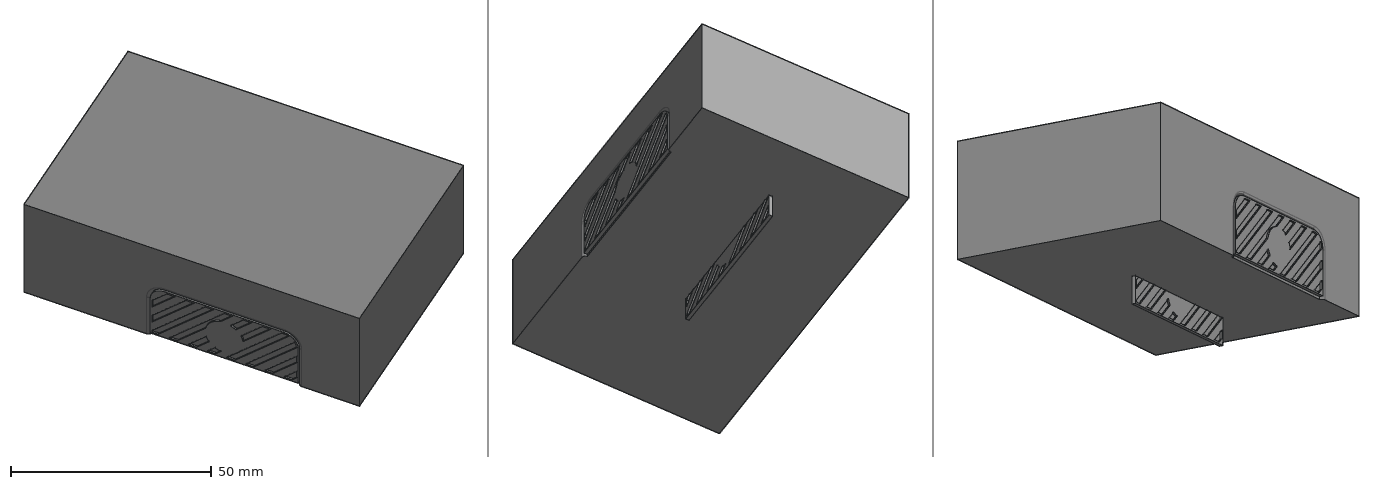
import cadquery as cq
import math

BLOCK_WIDTH = 93.0
BLOCK_DEPTH = 60.0
BLOCK_HEIGHT = 31.0
BLOCK_FRONT = -BLOCK_DEPTH / 2

PLATE_WIDTH = 41.0
PLATE_HEIGHT = 16.25
PLATE_THICKNESS = 1.0
PLATE_CORNER_RADIUS = 4.0
PLATE_CENTER_X = 9.0
FRONT_PLATE_BOTTOM = 0.75
PLATE_DROP = 8.0
LOW_PLATE_BOTTOM = FRONT_PLATE_BOTTOM - PLATE_DROP
LOW_PLATE_FRONT = -PLATE_THICKNESS / 2

RIM_RADIUS = 1.0
RECESS_DEPTH = PLATE_THICKNESS
RECESS_HEIGHT = FRONT_PLATE_BOTTOM + PLATE_HEIGHT

GROOVE_DEPTH = 0.5
GROOVE_MARGIN = 0.5
GROOVE_ANGLE = 45.0
GROOVE_WIDTH = 1.6
GROOVE_PITCH = 3.75
GROOVE_COUNT = 10
FIRST_GROOVE_X = -30.5
DISC_RADIUS = 5.3
DISC_CENTER_Z = 7.2


def arched_prism(width, height, corner_radius, thickness):
    """Upright slab from Y = 0 to +thickness, standing on Z = 0, with round top corners."""
    slab = cq.Workplane("XY").box(width, thickness, height, centered=(True, False, False))
    return slab.edges("|Y and >Z").fillet(corner_radius)


def make_grooves():
    """Slanted bars to cut from a plate, trimmed to the margin and around the plain disc."""
    field = arched_prism(
        PLATE_WIDTH - 2 * GROOVE_MARGIN,
        PLATE_HEIGHT - 2 * GROOVE_MARGIN,
        PLATE_CORNER_RADIUS - GROOVE_MARGIN,
        GROOVE_DEPTH,
    ).translate((0, 0, GROOVE_MARGIN))
    disc = (
        cq.Workplane("XZ", origin=(0, 0, DISC_CENTER_Z))
        .circle(DISC_RADIUS)
        .extrude(-GROOVE_DEPTH)
    )
    step_x = GROOVE_PITCH / math.sin(math.radians(GROOVE_ANGLE))
    bar_length = 2 * (PLATE_WIDTH + PLATE_HEIGHT)
    bar = (
        cq.Workplane("XY")
        .box(bar_length, GROOVE_DEPTH, GROOVE_WIDTH, centered=(True, False, True))
        .rotate((0, 0, 0), (0, 1, 0), -GROOVE_ANGLE)
    )
    bars = cq.Workplane("XY")
    for index in range(GROOVE_COUNT):
        bars = bars.add(bar.translate((FIRST_GROOVE_X + index * step_x, 0, 0)))
    return field.cut(disc).intersect(bars.combine())


def make_plate(front_y, bottom_z):
    """Plate whose grooved face lies at front_y and whose bottom edge lies at bottom_z."""
    plate = arched_prism(PLATE_WIDTH, PLATE_HEIGHT, PLATE_CORNER_RADIUS, PLATE_THICKNESS)
    plate = plate.cut(make_grooves())
    return plate.translate((PLATE_CENTER_X, front_y, bottom_z))


def add_rim_and_recess(block):
    """Cut the front recess and round its rim down to the floor that backs the front plate."""
    opening_depth = 2 * RECESS_DEPTH
    opening = arched_prism(PLATE_WIDTH, RECESS_HEIGHT, PLATE_CORNER_RADIUS, opening_depth)
    block = block.cut(opening.translate((PLATE_CENTER_X, BLOCK_FRONT, 0)))

    half_width = PLATE_WIDTH / 2 + RIM_RADIUS
    above_bottom_edge = RIM_RADIUS / 2
    rim_edges = cq.selectors.BoxSelector(
        (PLATE_CENTER_X - half_width, BLOCK_FRONT - RIM_RADIUS / 2, above_bottom_edge),
        (PLATE_CENTER_X + half_width, BLOCK_FRONT + RIM_RADIUS / 2, RECESS_HEIGHT + RIM_RADIUS),
    )
    block = block.edges(rim_edges).fillet(RIM_RADIUS)

    floor = arched_prism(
        PLATE_WIDTH, RECESS_HEIGHT, PLATE_CORNER_RADIUS, opening_depth - RECESS_DEPTH
    )
    return block.union(floor.translate((PLATE_CENTER_X, BLOCK_FRONT + RECESS_DEPTH, 0)))


def cut_slot(block):
    """Cut the slot in the bottom that holds the upper part of the low plate."""
    slot = arched_prism(PLATE_WIDTH, PLATE_HEIGHT, PLATE_CORNER_RADIUS, PLATE_THICKNESS)
    return block.cut(slot.translate((PLATE_CENTER_X, LOW_PLATE_FRONT, LOW_PLATE_BOTTOM)))


def make_block():
    """Block with the rimmed front recess and the slot for the low plate."""
    block = cq.Workplane("XY").box(
        BLOCK_WIDTH, BLOCK_DEPTH, BLOCK_HEIGHT, centered=(True, True, False)
    )
    return cut_slot(add_rim_and_recess(block))


block = make_block()
front_plate = make_plate(BLOCK_FRONT, FRONT_PLATE_BOTTOM)
low_plate = make_plate(LOW_PLATE_FRONT, LOW_PLATE_BOTTOM)

result = cq.Compound.makeCompound([block.val(), front_plate.val(), low_plate.val()])